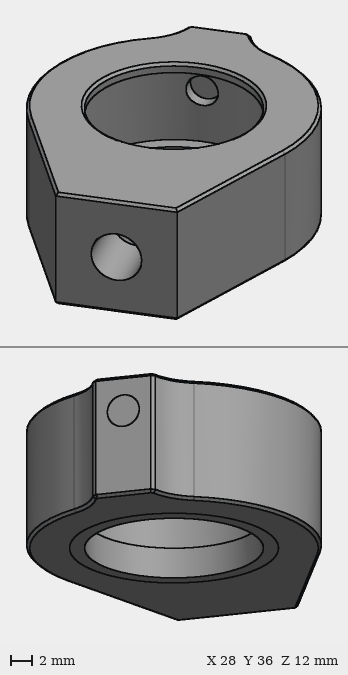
import cadquery as cq
import math

overall_length = 36.0
thickness = 12.0
outer_radius = 14.0
tab_reach = 16.0
foot_reach = overall_length - tab_reach
foot_width = 12.0
tab_width = 6.05
tab_fillet_radius = 5.6
edge_chamfer = 0.3

clear_radius = 8.5
seat_radius = 9.95
lip_height = 1.0
ring_height = 3.0

mount_hole_radius = 2.5
mount_hole_depth = 7.2
drill_point_angle = 118.0

tab_hole_radius = 1.6
tab_hole_height = 8.45
plug_end = 11.35


def polar(radius, angle):
    return (radius * math.cos(angle), radius * math.sin(angle))


def mirrored(point):
    return (-point[0], point[1])


def outline():
    """Ring with tangent flanks down to the foot and a blended tab opposite."""
    foot_corner = (foot_width / 2, -foot_reach)
    foot_distance = math.hypot(*foot_corner)
    flank_angle = math.atan2(foot_corner[1], foot_corner[0]) + math.acos(outer_radius / foot_distance)
    flank_tangent = polar(outer_radius, flank_angle)

    tab_corner = (tab_width / 2, tab_reach)
    tab_distance = math.hypot(*tab_corner)
    centre_distance = outer_radius + tab_fillet_radius
    cosine = (tab_distance**2 + centre_distance**2 - tab_fillet_radius**2) / (
        2 * tab_distance * centre_distance
    )
    blend_angle = math.atan2(tab_corner[1], tab_corner[0]) - math.acos(cosine)
    blend_centre = polar(centre_distance, blend_angle)
    blend_tangent = polar(outer_radius, blend_angle)
    start_angle = blend_angle + math.pi
    end_angle = math.atan2(tab_corner[1] - blend_centre[1], tab_corner[0] - blend_centre[0])
    end_angle %= 2 * math.pi
    offset = polar(tab_fillet_radius, (start_angle + end_angle) / 2)
    blend_middle = (blend_centre[0] + offset[0], blend_centre[1] + offset[1])

    ring_side = (outer_radius, 0)
    return (
        cq.Workplane("XY")
        .moveTo(*mirrored(foot_corner))
        .lineTo(*foot_corner)
        .lineTo(*flank_tangent)
        .threePointArc(ring_side, blend_tangent)
        .threePointArc(blend_middle, tab_corner)
        .lineTo(*mirrored(tab_corner))
        .threePointArc(mirrored(blend_middle), mirrored(blend_tangent))
        .threePointArc(mirrored(ring_side), mirrored(flank_tangent))
        .close()
    )


def bore():
    """Through bore with a chamfered lip at the top and a wide seat open at the bottom."""
    seat_top = thickness - lip_height
    return (
        cq.Workplane("XZ")
        .polyline(
            [
                (0, 0),
                (seat_radius, 0),
                (seat_radius, seat_top),
                (clear_radius, seat_top),
                (clear_radius, thickness - edge_chamfer),
                (clear_radius + edge_chamfer, thickness),
                (0, thickness),
            ]
        )
        .close()
        .revolve(360, (0, 0), (0, 1))
    )


def mount_hole():
    """Drilled blind hole along +Y from the foot, with a conical end."""
    point_length = mount_hole_radius / math.tan(math.radians(drill_point_angle / 2))
    full_depth_y = mount_hole_depth - foot_reach
    return (
        cq.Workplane("XY")
        .polyline(
            [
                (0, -foot_reach),
                (mount_hole_radius, -foot_reach),
                (mount_hole_radius, full_depth_y),
                (0, full_depth_y + point_length),
            ]
        )
        .close()
        .revolve(360, (0, 0), (0, 1))
        .translate((0, 0, thickness / 2))
    )


def tab_cylinder(start, end):
    """Cylinder filling the tab hole between two distances from the ring centre."""
    return (
        cq.Workplane("XZ", origin=(0, start, tab_hole_height))
        .circle(tab_hole_radius)
        .extrude(start - end)
    )


def make_housing():
    body = outline().extrude(thickness)
    body = body.faces(">Y").edges("|Z").chamfer(edge_chamfer)
    body = body.faces("<Z or >Z").edges().chamfer(edge_chamfer)
    return body.cut(bore()).cut(mount_hole()).cut(tab_cylinder(0, tab_reach))


def make_retaining_ring():
    """Plain ring filling the bottom of the seat, flush with the bottom face."""
    return cq.Workplane("XY").circle(seat_radius).circle(clear_radius).extrude(ring_height)


def make_plug():
    """Plain cylindrical plug in the tab hole, flush with the flat end of the tab."""
    return tab_cylinder(plug_end, tab_reach)


housing = make_housing()
retaining_ring = make_retaining_ring()
plug = make_plug()
result = cq.Compound.makeCompound([housing.val(), retaining_ring.val(), plug.val()])